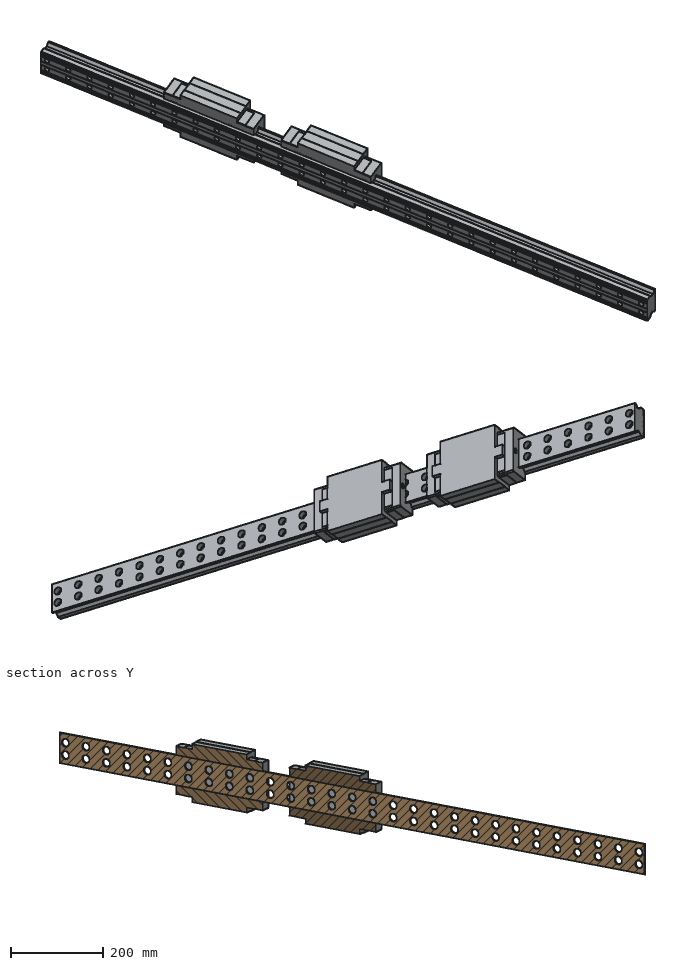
import cadquery as cq

RAIL_LENGTH = 1500.0
RAIL_HEIGHT = 37.0
RAIL_HALF_WIDTH = 35.0
RAIL_CHAMFER = 2.0
RACE_DEPTH = 6.5
RACE_FOOT_Y = 13.0
RACE_HEAD_Y = 33.0

HOLE_PITCH = 52.5
HOLES_PER_ROW = 29
HOLE_ROW_Z = 14.0
HOLE_DIAMETER = 11.0
COUNTERBORE_DIAMETER = 17.0
COUNTERBORE_DEPTH = 14.0

RELIEF_DEPTH = 0.5
HOLE_RELIEF_WIDTH = 17.0
EDGE_RELIEF_WIDTH = 4.0
EDGE_RELIEF_Z = 28.0

CARRIAGE_CENTRES_X = (-340.0, -50.0)
CARRIAGE_BOTTOM_Y = 10.0
CARRIAGE_TOP_Y = 70.0
BODY_LENGTH = 140.0
BODY_WIDTH = 135.0
FLANK_GROOVE_DEPTH = 1.0
FLANK_GROOVE_LOW_Y = 28.0
FLANK_GROOVE_HIGH_Y = 51.0
CAP_LENGTH = 180.0
CAP_WIDTH = 110.5
CAP_TOP_Y = 60.0
CAP_CHAMFER = CAP_TOP_Y - FLANK_GROOVE_HIGH_Y
SEAL_LENGTH = 222.0
SEAL_INSET = 0.5
SEAL_CHAMFER = 3.0
END_FOOT_CHAMFER = 1.0
TONGUE_WIDTH = 25.0

PORT_Y = 49.5
PORT_DIAMETER = 11.0
PORT_DEPTH = 3.0
PORT_BORE_DIAMETER = 6.0
PORT_BORE_DEPTH = 15.0


def box_between(length, y_low, y_high, z_low, z_high):
    """Box centred on X = 0 between the given Y and Z limits."""
    height = y_high - y_low
    width = z_high - z_low
    middle = (0, (y_low + y_high) / 2, (z_low + z_high) / 2)
    return cq.Workplane("XY").box(length, height, width).translate(middle)


def rail_blank(length):
    """Bar with chamfered foot edges and a 45 degree raceway groove in each side."""
    waist = RAIL_HALF_WIDTH - RACE_DEPTH
    upper_half = [
        (0, RAIL_HALF_WIDTH - RAIL_CHAMFER),
        (RAIL_CHAMFER, RAIL_HALF_WIDTH),
        (RACE_FOOT_Y, RAIL_HALF_WIDTH),
        (RACE_FOOT_Y + RACE_DEPTH, waist),
        (RACE_HEAD_Y - RACE_DEPTH, waist),
        (RACE_HEAD_Y, RAIL_HALF_WIDTH),
        (RAIL_HEIGHT, RAIL_HALF_WIDTH),
    ]
    lower_half = [(y, -z) for y, z in reversed(upper_half)]
    section = cq.Workplane("YZ").polyline(upper_half + lower_half).close()
    return section.extrude(length / 2, both=True)


def make_rail():
    rail = rail_blank(RAIL_LENGTH)

    for side in (-1, 1):
        for middle_z, width in ((HOLE_ROW_Z, HOLE_RELIEF_WIDTH), (EDGE_RELIEF_Z, EDGE_RELIEF_WIDTH)):
            z_low = side * middle_z - width / 2
            rail = rail.cut(box_between(RAIL_LENGTH, 0, RELIEF_DEPTH, z_low, z_low + width))

    top_plane = cq.Workplane("XZ", origin=(0, RAIL_HEIGHT, 0))
    centres = top_plane.rarray(HOLE_PITCH, 2 * HOLE_ROW_Z, HOLES_PER_ROW, 2)
    holes = centres.circle(HOLE_DIAMETER / 2).extrude(RAIL_HEIGHT)
    counterbores = centres.circle(COUNTERBORE_DIAMETER / 2).extrude(COUNTERBORE_DEPTH)
    return rail.cut(holes).cut(counterbores)


def end_block(length, inset, top_chamfer):
    """Chamfered block spanning both ends, with its sides and top lowered by inset."""
    half_width = CAP_WIDTH / 2 - inset
    block = box_between(length, CARRIAGE_BOTTOM_Y, CAP_TOP_Y - inset, -half_width, half_width)
    block = block.edges("|X and >Y").chamfer(top_chamfer)
    return block.edges("|X and <Y").chamfer(END_FOOT_CHAMFER)


def carriage_body():
    """Wide central body with a shallow band recessed along both sides."""
    half_width = BODY_WIDTH / 2
    body = box_between(BODY_LENGTH, CARRIAGE_BOTTOM_Y, CARRIAGE_TOP_Y, -half_width, half_width)
    floor_z = half_width - FLANK_GROOVE_DEPTH
    for z_low, z_high in ((floor_z, half_width), (-half_width, -floor_z)):
        groove = box_between(BODY_LENGTH, FLANK_GROOVE_LOW_Y, FLANK_GROOVE_HIGH_Y, z_low, z_high)
        body = body.cut(groove)
    return body


def lubrication_port(side):
    """Cutter for the stepped port in the end face at side = -1 or +1 along X."""
    face_plane = cq.Workplane("YZ", origin=(side * SEAL_LENGTH / 2, PORT_Y, 0))
    mouth = face_plane.circle(PORT_DIAMETER / 2).extrude(-side * PORT_DEPTH)
    bore = face_plane.circle(PORT_BORE_DIAMETER / 2).extrude(-side * PORT_BORE_DEPTH)
    return mouth.union(bore)


def make_carriage(centre_x):
    half_tongue = TONGUE_WIDTH / 2
    tongue = box_between(CAP_LENGTH, CARRIAGE_BOTTOM_Y, CARRIAGE_TOP_Y, -half_tongue, half_tongue)
    carriage = (
        carriage_body()
        .union(end_block(CAP_LENGTH, 0, CAP_CHAMFER))
        .union(end_block(SEAL_LENGTH, SEAL_INSET, SEAL_CHAMFER))
        .union(tongue)
    )
    for side in (-1, 1):
        carriage = carriage.cut(lubrication_port(side))
    carriage = carriage.cut(rail_blank(SEAL_LENGTH))
    return carriage.translate((centre_x, 0, 0))


rail = make_rail()
carriages = [make_carriage(x) for x in CARRIAGE_CENTRES_X]
bodies = [rail, *carriages]
result = cq.Compound.makeCompound([body.val() for body in bodies])